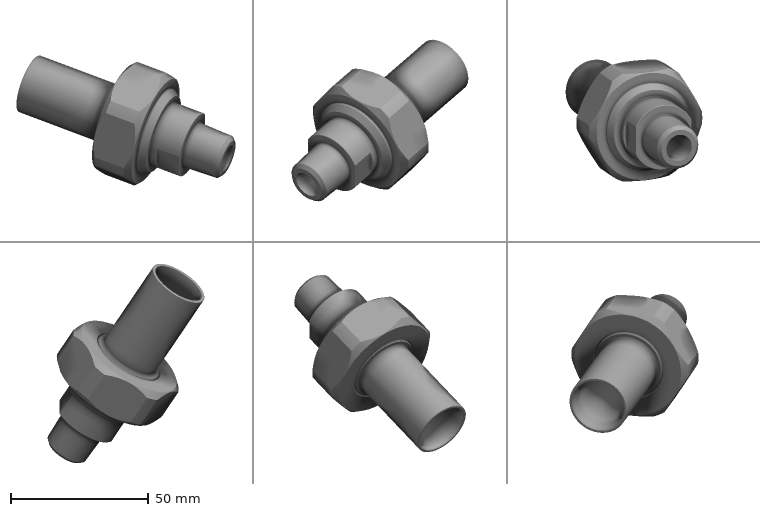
import cadquery as cq
import math


nut_start = 35.0
nut_end = 51.0
seat_x = 44.0
thread_end = 54.2
hub_end = 65.8
total_length = 80.0

tube_diameter = 22.0
tube_bore = 19.6
tube_edge_chamfer = 0.2
collar_diameter = 26.0
collar_chamfer = 0.4
flange_diameter = 30.3
collar_fillet = 0.8
collar_start = nut_start - 0.2
flange_start = 40.8

nut_across_flats = 41.0
nut_corner_diameter = 44.8
nut_corner_chamfer = 2.2
nut_bore = 26.5
nut_bore_chamfer = 0.3

thread_diameter = 33.1
thread_end_diameter = 29.5
thread_chamfer_length = 2.2
hub_diameter = 24.5
hub_edge_chamfer = 0.2
hub_fillet = 0.4
hub_across_flats = 22.0
hub_flats_start = 56.9
spigot_root_diameter = 17.3
spigot_end_diameter = 16.3
spigot_chamfer = 1.3
spigot_fillet = 0.5
body_bore = 10.0
bore_mouth_diameter = 14.6
bore_mouth_depth = 3.2


def revolve_about_x(profile):
    """Revolve a closed XY profile a full turn about the X axis."""
    return profile.close().revolve(360, (0, 0, 0), (1, 0, 0))


def cylinder(diameter, start, end):
    """Cylinder on the X axis from start to end."""
    return cq.Workplane("YZ", origin=(start, 0, 0)).circle(diameter / 2).extrude(end - start)


def fillet_mid(center_x, center_r, radius):
    """Middle of a concave quarter arc; the sign of radius sets its side along X."""
    offset = math.sqrt(0.5)
    return (center_x + radius * offset, center_r - abs(radius) * offset)


def make_tailpiece():
    """Tube with a filleted collar and a flange that the nut pulls onto the seat."""
    tube_r = tube_diameter / 2
    bore_r = tube_bore / 2
    collar_r = collar_diameter / 2
    flange_r = flange_diameter / 2
    fillet_x = collar_start - collar_fillet
    fillet_r = tube_r + collar_fillet
    return revolve_about_x(
        cq.Workplane("XY")
        .moveTo(tube_edge_chamfer, bore_r)
        .lineTo(0, bore_r + tube_edge_chamfer)
        .lineTo(0, tube_r - tube_edge_chamfer)
        .lineTo(tube_edge_chamfer, tube_r)
        .lineTo(fillet_x, tube_r)
        .threePointArc(fillet_mid(fillet_x, fillet_r, collar_fillet), (collar_start, fillet_r))
        .lineTo(collar_start, collar_r - collar_chamfer)
        .lineTo(collar_start + collar_chamfer, collar_r)
        .lineTo(flange_start, collar_r)
        .lineTo(flange_start, flange_r)
        .lineTo(seat_x, flange_r)
        .lineTo(seat_x, bore_r)
    )


def make_nut():
    """Hexagon nut with turned corners and a bore stepped for the collar and the thread."""
    length = nut_end - nut_start
    hexagon = (
        cq.Workplane("YZ", origin=(nut_start, 0, 0))
        .polygon(6, nut_across_flats / math.cos(math.pi / 6))
        .extrude(length)
    )
    turned_blank = cylinder(nut_corner_diameter, nut_start, nut_end).edges().chamfer(nut_corner_chamfer)
    nut = hexagon.intersect(turned_blank)
    nut = nut.cut(cylinder(nut_bore, nut_start, nut_end))
    nut = nut.faces("<X").edges(cq.selectors.RadiusNthSelector(0)).chamfer(nut_bore_chamfer)
    nut = nut.cut(cylinder(flange_diameter, flange_start, seat_x))
    return nut.cut(cylinder(thread_diameter, seat_x, nut_end))


def make_body():
    """Threaded flange, hub with two flats and tapered spigot, bored through."""
    thread_r = thread_diameter / 2
    hub_r = hub_diameter / 2
    root_r = spigot_root_diameter / 2
    end_r = spigot_end_diameter / 2
    hub_fillet_x = thread_end + hub_fillet
    hub_fillet_r = hub_r + hub_fillet
    spigot_fillet_x = hub_end + spigot_fillet
    spigot_fillet_r = root_r + spigot_fillet
    body = revolve_about_x(
        cq.Workplane("XY")
        .moveTo(seat_x, bore_mouth_diameter / 2)
        .lineTo(seat_x, thread_r)
        .lineTo(thread_end - thread_chamfer_length, thread_r)
        .lineTo(thread_end, thread_end_diameter / 2)
        .lineTo(thread_end, hub_fillet_r)
        .threePointArc(fillet_mid(hub_fillet_x, hub_fillet_r, -hub_fillet), (hub_fillet_x, hub_r))
        .lineTo(hub_end - hub_edge_chamfer, hub_r)
        .lineTo(hub_end, hub_r - hub_edge_chamfer)
        .lineTo(hub_end, spigot_fillet_r)
        .threePointArc(
            fillet_mid(spigot_fillet_x, spigot_fillet_r, -spigot_fillet), (spigot_fillet_x, root_r)
        )
        .lineTo(total_length - spigot_chamfer, end_r)
        .lineTo(total_length, end_r - spigot_chamfer)
        .lineTo(total_length, body_bore / 2)
        .lineTo(seat_x + bore_mouth_depth, body_bore / 2)
    )
    flats_length = hub_end - hub_flats_start
    flat_depth = (hub_diameter - hub_across_flats) / 2
    for side in (-1, 1):
        flat_cutter = cq.Workplane("XY").box(flats_length, flat_depth, hub_diameter).translate(
            (hub_flats_start + flats_length / 2, side * (hub_across_flats + flat_depth) / 2, 0)
        )
        body = body.cut(flat_cutter)
    return body


tailpiece = make_tailpiece()
nut = make_nut()
body = make_body()

result = cq.Compound.makeCompound([tailpiece.val(), nut.val(), body.val()])